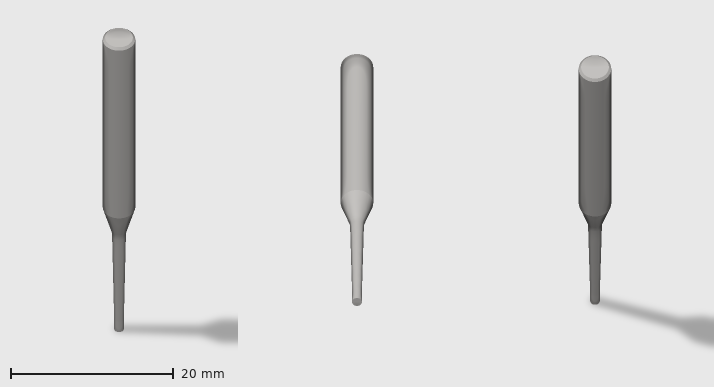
import cadquery as cq
import math

TOTAL_LENGTH = 50.0
SHANK_DIAMETER = 4.0
SHANK_CHAMFER = 0.3

TIP_DIAMETER = 1.2
TIP_LENGTH = 1.8

NECK_TOP_Z = 16.1
NECK_HALF_ANGLE = 1.0

BLEND_TOP_DIAMETER = 1.95
BLEND_TOP_Z = 17.0

SHOULDER_TOP_Z = 20.9

tip_radius = TIP_DIAMETER / 2
shank_radius = SHANK_DIAMETER / 2
neck_length = NECK_TOP_Z - TIP_LENGTH
neck_top_radius = tip_radius + neck_length * math.tan(math.radians(NECK_HALF_ANGLE))


def make_tip():
    """Plain cylinder for the cutting end."""
    return cq.Workplane("XY").circle(tip_radius).extrude(TIP_LENGTH)


def make_holder():
    """Neck, blend, shoulder cone and chamfered shank, revolved about Z."""
    profile = (
        cq.Workplane("XZ")
        .moveTo(0, TIP_LENGTH)
        .lineTo(tip_radius, TIP_LENGTH)
        .lineTo(neck_top_radius, NECK_TOP_Z)
        .tangentArcPoint((BLEND_TOP_DIAMETER / 2, BLEND_TOP_Z), relative=False)
        .lineTo(shank_radius, SHOULDER_TOP_Z)
        .lineTo(shank_radius, TOTAL_LENGTH - SHANK_CHAMFER)
        .lineTo(shank_radius - SHANK_CHAMFER, TOTAL_LENGTH)
        .lineTo(0, TOTAL_LENGTH)
        .close()
    )
    return profile.revolve(360, (0, 0, 0), (0, 1, 0))


tip = make_tip()
holder = make_holder()

result = cq.Compound.makeCompound([tip.val(), holder.val()])